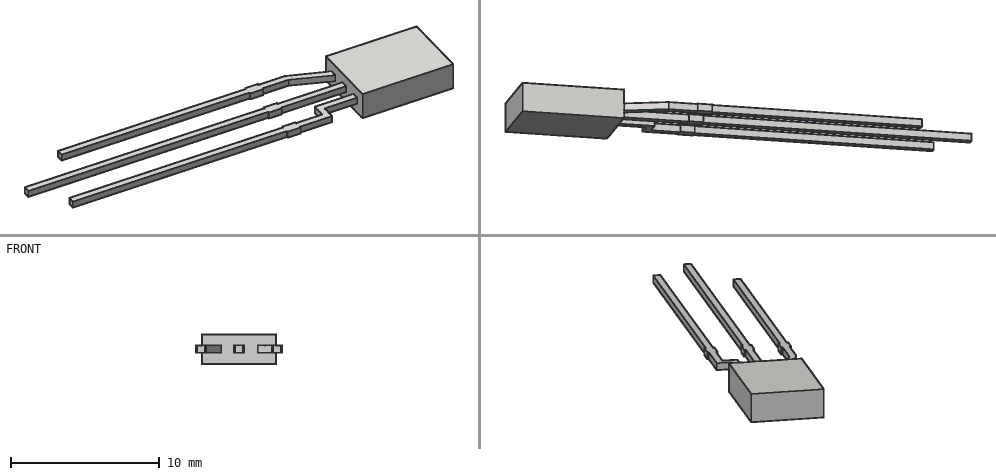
import cadquery as cq

body_width = 5.0
body_length = 7.0
body_thickness = 2.0

pitch = 2.54
wire = 0.5
left_lead_length = 20.5
middle_lead_length = 24.5
right_lead_length = 22.5

stop_width = 0.7
stop_start = 5.0
stop_length = 1.0

bend_distance = 3.0
left_root_x = -1.46
left_root_width = 0.54
right_root_x = 1.52


def flat_plate(outline):
    """Close an XY outline and give it the wire thickness, centred on Z = 0."""
    return outline.close().extrude(wire / 2, both=True)


def strip(x, width, start, end):
    """Straight flat bar centred on x, between two distances from the body face."""
    return flat_plate(
        cq.Workplane("XY")
        .moveTo(x - width / 2, -start)
        .lineTo(x + width / 2, -start)
        .lineTo(x + width / 2, -end)
        .lineTo(x - width / 2, -end)
    )


def straight_run(x, start, end):
    """Straight wire carrying its wider stop."""
    stop = strip(x, stop_width, stop_start, stop_start + stop_length)
    return strip(x, wire, start, end).union(stop)


def slanted_lead():
    """Left lead: slants outward to the pitch, then runs straight."""
    slant = flat_plate(
        cq.Workplane("XY")
        .moveTo(left_root_x - left_root_width / 2, 0)
        .lineTo(left_root_x + left_root_width / 2, 0)
        .lineTo(-pitch + wire / 2, -bend_distance)
        .lineTo(-pitch - wire / 2, -bend_distance)
    )
    return slant.union(straight_run(-pitch, bend_distance, left_lead_length))


def stepped_lead():
    """Right lead: steps sideways to the pitch at a right angle, then runs straight."""
    step_start = bend_distance - wire
    root = strip(right_root_x, wire, 0, bend_distance)
    step_width = pitch - right_root_x + wire
    step = strip((right_root_x + pitch) / 2, step_width, step_start, bend_distance)
    return root.union(step).union(straight_run(pitch, step_start, right_lead_length))


body = cq.Workplane("XY").box(body_width, body_length, body_thickness)
body = body.translate((0, body_length / 2, 0))

result = (
    body.union(slanted_lead())
    .union(straight_run(0, 0, middle_lead_length))
    .union(stepped_lead())
)